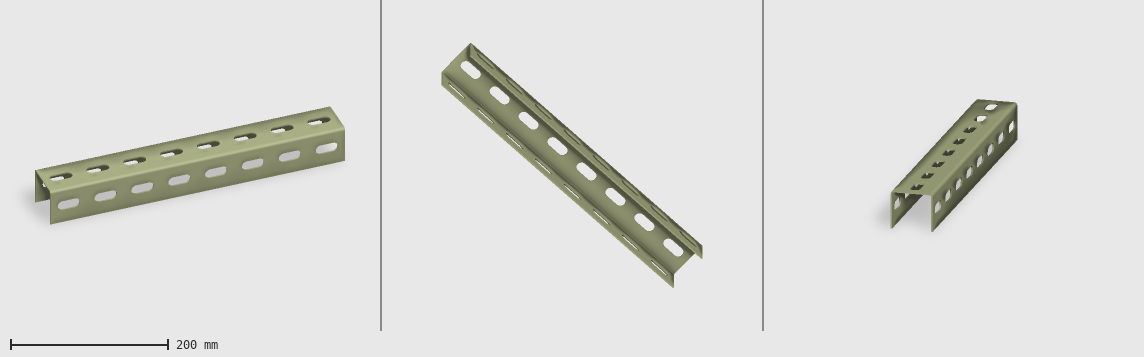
import cadquery as cq

length = 400.0
width = 55.0
height = 50.0
thickness = 2.0
outer_bend_radius = 4.0
inner_bend_radius = outer_bend_radius - thickness

slot_count = 8
slot_pitch = length / slot_count
slot_length = 30.0
slot_width = 13.0
flange_slot_height = height / 2


def rounded_bar(bar_width, bar_height, top_radius):
    """Full-length bar standing on Z = 0 with its two long top edges rounded."""
    bar = cq.Workplane("XY").box(bar_width, length, bar_height, centered=(True, True, False))
    return bar.edges("|Y and >Z").fillet(top_radius)


def slot_row(plane, depth):
    """Row of slot cutters along Y, extruded to both sides of the plane."""
    return (
        plane.rarray(4, slot_pitch, 1, slot_count)
        .slot2D(slot_length, slot_width, 90)
        .extrude(depth, both=True)
    )


channel = rounded_bar(width, height, outer_bend_radius).cut(
    rounded_bar(width - 2 * thickness, height - thickness, inner_bend_radius)
)

web_slots = slot_row(cq.Workplane("XY", origin=(0, 0, height)), 2 * thickness)

flange_plane = cq.Plane(origin=(0, 0, flange_slot_height), xDir=(0, 0, -1), normal=(1, 0, 0))
flange_slots = slot_row(cq.Workplane(flange_plane), width)

result = channel.cut(web_slots).cut(flange_slots)